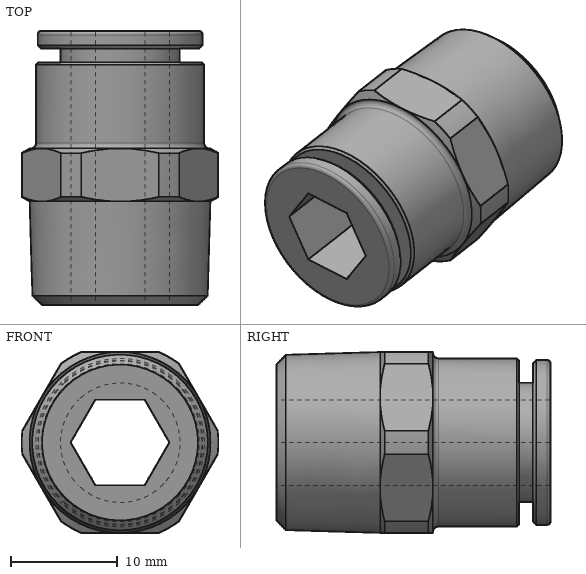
import cadquery as cq
import math

length = 25.75

thread_chamfer_length = 0.9
nut_start = 9.73
nut_end = 14.7
body_end = 22.8
collar_start = 24.08

thread_tip_radius = 7.31
thread_start_radius = 8.25
thread_end_radius = 8.5
body_radius = 7.9
neck_radius = 5.61
collar_radius = 7.75

shoulder_fillet = 0.52
body_chamfer = 0.23
collar_back_chamfer = 0.33
collar_rounding = 0.35

nut_across_flats = 17.0
nut_corner_diameter = 18.5
nut_chamfer_angle = 30.0
socket_across_flats = 8.0


def hexagon(across_flats, start, end):
    """Hexagonal prism along Y between two stations."""
    across_corners = across_flats / math.cos(math.radians(30))
    plane = cq.Workplane("XZ", origin=(0, start, 0))
    return plane.polygon(6, across_corners).extrude(start - end)


def revolve_about_y(profile):
    """Solid of revolution from a closed (radius, Y) profile."""
    return profile.close().revolve(360, (0, 0, 0), (0, 1, 0))


def turned_fitting():
    """Tapered thread, shoulder, body, neck and release collar."""
    profile = (
        cq.Workplane("XY")
        .lineTo(thread_tip_radius, 0)
        .lineTo(thread_start_radius, thread_chamfer_length)
        .lineTo(thread_end_radius, nut_start)
        .lineTo(body_radius + shoulder_fillet, nut_end)
        .radiusArc((body_radius, nut_end + shoulder_fillet), shoulder_fillet)
        .lineTo(body_radius, body_end - body_chamfer)
        .lineTo(body_radius - body_chamfer, body_end)
        .lineTo(neck_radius, body_end)
        .lineTo(neck_radius, collar_start)
        .lineTo(collar_radius - collar_back_chamfer, collar_start)
        .lineTo(collar_radius, collar_start + collar_back_chamfer)
        .lineTo(collar_radius, length - collar_rounding)
        .radiusArc((collar_radius - collar_rounding, length), -collar_rounding)
        .lineTo(0, length)
    )
    return revolve_about_y(profile)


def nut():
    """Hexagonal wrench section, turned down at its corners and chamfered."""
    corner_radius = nut_corner_diameter / 2
    face_radius = nut_across_flats / 2
    chamfer_length = (corner_radius - face_radius) * math.tan(math.radians(nut_chamfer_angle))
    envelope = revolve_about_y(
        cq.Workplane("XY")
        .moveTo(0, nut_start)
        .lineTo(face_radius, nut_start)
        .lineTo(corner_radius, nut_start + chamfer_length)
        .lineTo(corner_radius, nut_end - chamfer_length)
        .lineTo(face_radius, nut_end)
        .lineTo(0, nut_end)
    )
    return hexagon(nut_across_flats, nut_start, nut_end).intersect(envelope)


result = turned_fitting().union(nut()).cut(hexagon(socket_across_flats, 0, length))